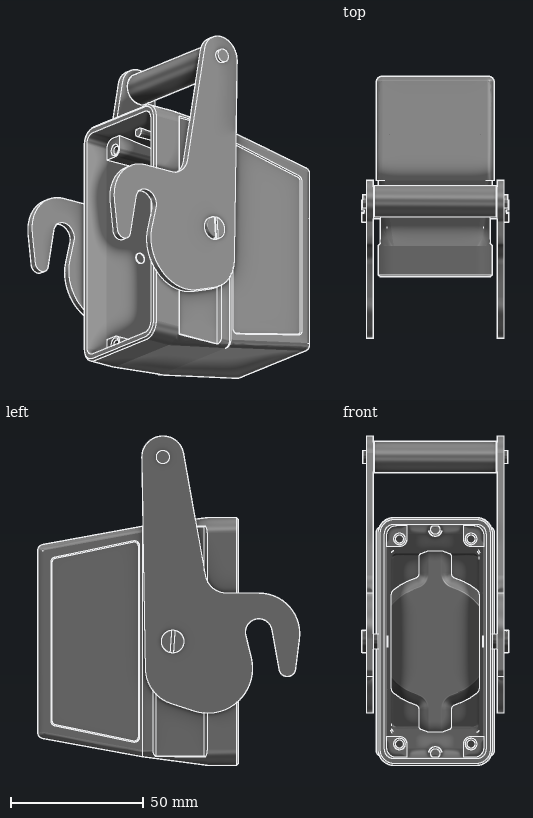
import cadquery as cq
import math


COLLAR_HALF_X = 21.65
COLLAR_HALF_Z = 46.95
COLLAR_CORNER = 6.0
COLLAR_DEPTH = 11.6
COLLAR_EDGE = 0.8
SHOULDER_Y = 36.4
SHOULDER_HALF_Z = 43.65
REAR_HALF_X = 22.4
REAR_HALF_Z = 36.4
REAR_Y = 76.0
REAR_CORNER = 2.5
REAR_EDGE = 2.4
MID_Z = COLLAR_HALF_Z

REAR_PANEL_FRONT_Y = 37.4
REAR_PANEL_BACK_Y = 71.0
REAR_PANEL_FRONT_HALF_Z = 38.6
REAR_PANEL_BACK_HALF_Z = 31.6
REAR_PANEL_DEPTH = 0.5
REAR_PANEL_CORNER = 2.0
FRONT_PANEL_Y = (11.8, 32.4)
FRONT_PANEL_HALF_Z = 44.5
FRONT_PANEL_DEPTH = 1.2
PANEL_DRAFT = 45.0

MOUTH_HALF_X = 19.3
MOUTH_HALF_Z = 44.3
MOUTH_CORNER = 3.6
LEDGE_Y = 9.0
LEDGE_HALF_X = 18.4
LEDGE_HALF_Z = 43.8
WALL_Z = COLLAR_HALF_Z - LEDGE_HALF_Z
SHOULDER_CAVITY_HALF_X = 18.0
FLOOR_HALF_X = 16.6
FLOOR_HALF_Z = 33.0
FLOOR_Y = 72.0
CAVITY_CORNER = 2.0
FLOOR_FILLET = 1.0

ISLAND_HEIGHT = 6.0
ISLAND_DISC_RADIUS = 25.1
ISLAND_NECK_HALF_X = 6.1
ISLAND_DRAFT = 30.0
ISLAND_FILLET = 2.0
ISLAND_EDGE = 1.0

SCREW_X = 13.55
SCREW_PITCH_Z = 77.6
SCREW_DIAMETER = 3.0
SCREW_MOUTH_DIAMETER = 4.4
SCREW_DEPTH = 12.0
PAD_INNER_X = 10.7
PAD_INNER_HALF_Z = 36.0
PAD_FILLET = 2.7

GUIDE_HALF_Z = 42.4
GUIDE_DIAMETER = 3.6
GUIDE_BASE_DIAMETER = 5.2
GUIDE_TIP_Y = 9.5
GUIDE_BASE_Y = 26.0

CHEEK_INNER_X = 23.45
CHEEK_OUTER_X = 26.05
GRIP_EYE = (28.6, 116.76, 8.0)
ELBOW = (4.6, 73.3, 8.0)
HOOK_BACK = (-7.85, 49.9, 15.4)
HOOK_TIP = (-18.5, 36.85, 3.2)
HOOK_SLOT = (-7.7, 50.5, 5.0)
CAM = (11.6, 36.8, 17.0)
HEEL = (21.2, 36.8, 14.0)

GRIP_DIAMETER = 12.0
GRIP_EDGE = 0.5
RIVET_DIAMETER = 5.0
RIVET_END_X = 27.5

PIVOT_Y = 24.9
PIVOT_HEAD_DIAMETER = 8.6
PIVOT_HEAD_X = 27.9
PIVOT_HEAD_EDGE = 0.4
PIVOT_SPACER_DIAMETER = 5.8
PIVOT_PIN_DIAMETER = 4.0
PIVOT_PIN_END_X = 17.8
DRIVER_SLOT_WIDTH = 1.3
DRIVER_SLOT_DEPTH = 1.0
DRIVER_SLOT_TILT = 4.0


def rounded_section(y, half_x, half_z, corner):
    """Rounded rectangle across the hood axis at depth y."""
    return (
        cq.Sketch()
        .rect(2 * half_x, 2 * half_z)
        .vertices()
        .fillet(corner)
        .moved(cq.Location(cq.Plane((0, y, MID_Z), (1, 0, 0), (0, -1, 0))))
    )


def loft_between(*sections):
    """Straight-sided solid through successive rounded sections."""
    sketches = [rounded_section(*section) for section in sections]
    return cq.Workplane().placeSketch(*sketches).loft(ruled=True)


def cylinder_x(y, z, diameter, x_start, x_end):
    """Cylinder parallel to X between two X positions."""
    plane = cq.Workplane("YZ", origin=(x_start, 0, 0))
    return plane.center(y, z).circle(diameter / 2).extrude(x_end - x_start)


def cylinder_y(x, z, diameter, y_start, y_end):
    """Cylinder parallel to Y between two Y positions."""
    plane = cq.Workplane("XZ", origin=(0, y_start, 0))
    return plane.center(x, z).circle(diameter / 2).extrude(y_start - y_end)


def both_sides(shape):
    """The shape together with its mirror image in X."""
    return shape.union(shape.mirror("YZ"))


def top_and_bottom(shape):
    """The shape together with its mirror image about the hood's middle height."""
    return shape.union(shape.mirror("XY", (0, 0, MID_Z)))


def hood_shell():
    collar = loft_between(
        (0, COLLAR_HALF_X, COLLAR_HALF_Z, COLLAR_CORNER),
        (COLLAR_DEPTH, COLLAR_HALF_X, COLLAR_HALF_Z, COLLAR_CORNER),
    )
    collar = collar.faces("<Y").edges().chamfer(COLLAR_EDGE)
    neck = loft_between(
        (COLLAR_DEPTH, COLLAR_HALF_X, COLLAR_HALF_Z, COLLAR_CORNER),
        (SHOULDER_Y, COLLAR_HALF_X, SHOULDER_HALF_Z, REAR_CORNER),
    )
    rear = loft_between(
        (SHOULDER_Y, REAR_HALF_X, SHOULDER_HALF_Z, REAR_CORNER),
        (REAR_Y, REAR_HALF_X, REAR_HALF_Z, REAR_CORNER),
    )
    rear = rear.faces(">Y").edges().fillet(REAR_EDGE)
    return collar.union(neck).union(rear)


def flank_recesses():
    """Shallow panels sunk into both flanks, drafted towards the bottom."""
    rear_outline = (
        cq.Sketch()
        .polygon([
            (REAR_PANEL_FRONT_Y, -REAR_PANEL_FRONT_HALF_Z),
            (REAR_PANEL_BACK_Y, -REAR_PANEL_BACK_HALF_Z),
            (REAR_PANEL_BACK_Y, REAR_PANEL_BACK_HALF_Z),
            (REAR_PANEL_FRONT_Y, REAR_PANEL_FRONT_HALF_Z),
            (REAR_PANEL_FRONT_Y, -REAR_PANEL_FRONT_HALF_Z),
        ])
        .vertices()
        .fillet(REAR_PANEL_CORNER)
    )
    rear_panel = (
        cq.Workplane("YZ", origin=(-REAR_HALF_X, 0, MID_Z))
        .placeSketch(rear_outline)
        .extrude(REAR_PANEL_DEPTH, taper=PANEL_DRAFT)
    )
    front_y, back_y = FRONT_PANEL_Y
    front_panel = (
        cq.Workplane("YZ", origin=(-COLLAR_HALF_X, 0, 0))
        .center((front_y + back_y) / 2, MID_Z)
        .rect(back_y - front_y, 2 * FRONT_PANEL_HALF_Z)
        .extrude(FRONT_PANEL_DEPTH, taper=PANEL_DRAFT)
    )
    return both_sides(rear_panel.union(front_panel))


def cavity():
    mouth = loft_between(
        (0, MOUTH_HALF_X, MOUTH_HALF_Z, MOUTH_CORNER),
        (LEDGE_Y, LEDGE_HALF_X, LEDGE_HALF_Z, MOUTH_CORNER),
    )
    shoulder = (SHOULDER_Y, SHOULDER_CAVITY_HALF_X, SHOULDER_HALF_Z - WALL_Z, CAVITY_CORNER)
    middle = loft_between(
        (LEDGE_Y, LEDGE_HALF_X, LEDGE_HALF_Z, CAVITY_CORNER),
        shoulder,
    )
    deep = loft_between(shoulder, (FLOOR_Y, FLOOR_HALF_X, FLOOR_HALF_Z, CAVITY_CORNER))
    deep = deep.faces(">Y").edges().fillet(FLOOR_FILLET)
    return mouth.union(middle).union(deep)


def floor_island():
    """Disc and necks rising from the cavity floor with sloping sides."""
    plan = (
        cq.Sketch()
        .circle(ISLAND_DISC_RADIUS)
        .rect(2 * ISLAND_NECK_HALF_X, 2 * COLLAR_HALF_Z)
        .clean()
        .vertices(cq.selectors.BoxSelector(
            [-ISLAND_DISC_RADIUS] * 3,
            [ISLAND_DISC_RADIUS] * 3,
        ))
        .fillet(ISLAND_FILLET)
    )
    return (
        cq.Workplane("XZ", origin=(0, FLOOR_Y, MID_Z))
        .placeSketch(plan)
        .extrude(ISLAND_HEIGHT, taper=ISLAND_DRAFT)
        .faces("<Y")
        .edges()
        .fillet(ISLAND_EDGE)
    )


def screw_pads():
    """Corner blocks from the ledge to the cavity floor."""
    pad = (
        cq.Workplane("XY")
        .box(
            LEDGE_HALF_X - PAD_INNER_X,
            FLOOR_Y - LEDGE_Y,
            LEDGE_HALF_Z - PAD_INNER_HALF_Z,
            centered=False,
        )
        .translate((PAD_INNER_X, LEDGE_Y, MID_Z + PAD_INNER_HALF_Z))
        .edges("|Y and <X and <Z")
        .fillet(PAD_FILLET)
    )
    return top_and_bottom(both_sides(pad))


def screw_holes():
    """Blind holes in the pads, with a countersunk mouth."""
    sink = (SCREW_MOUTH_DIAMETER - SCREW_DIAMETER) / 2
    screw_z = MID_Z + SCREW_PITCH_Z / 2
    hole = cylinder_y(SCREW_X, screw_z, SCREW_DIAMETER, LEDGE_Y, LEDGE_Y + SCREW_DEPTH)
    mouth = cq.Solid.makeCone(
        SCREW_MOUTH_DIAMETER / 2,
        SCREW_DIAMETER / 2,
        sink,
        cq.Vector(SCREW_X, LEDGE_Y, screw_z),
        cq.Vector(0, 1, 0),
    )
    return top_and_bottom(both_sides(hole.union(cq.Workplane(mouth))))


def guide_pins():
    guide_z = MID_Z + GUIDE_HALF_Z
    pin = cylinder_y(0, guide_z, GUIDE_DIAMETER, GUIDE_TIP_Y, SHOULDER_Y)
    base = cylinder_y(0, guide_z, GUIDE_BASE_DIAMETER, GUIDE_BASE_Y, SHOULDER_Y)
    return top_and_bottom(pin.union(base))


def tangent_line(first, first_turn, second, second_turn):
    """Ends of the line that leaves one circle and joins the next.

    A turn of +1 runs counter-clockwise round its circle and -1 runs clockwise.
    """
    y1, z1, r1 = first
    y2, z2, r2 = second
    span = math.hypot(y2 - y1, z2 - z1)
    heading = math.atan2(z2 - z1, y2 - y1)
    heading -= math.asin((second_turn * r2 - first_turn * r1) / span)
    normal_y = -math.sin(heading)
    normal_z = math.cos(heading)
    start = (y1 - first_turn * r1 * normal_y, z1 - first_turn * r1 * normal_z)
    end = (y2 - second_turn * r2 * normal_y, z2 - second_turn * r2 * normal_z)
    return start, end


def arc_middle(circle, turn, start, end):
    """Point half way along an arc of the circle."""
    y, z, radius = circle
    start_angle = math.atan2(start[1] - z, start[0] - y)
    end_angle = math.atan2(end[1] - z, end[0] - y)
    sweep = (turn * (end_angle - start_angle)) % (2 * math.pi)
    angle = start_angle + turn * sweep / 2
    return y + radius * math.cos(angle), z + radius * math.sin(angle)


def lever_cheek():
    """Plate on the +X side whose outline is arcs joined by tangent lines."""
    chain = [
        (GRIP_EYE, 1),
        (ELBOW, -1),
        (HOOK_BACK, 1),
        (HOOK_TIP, 1),
        (HOOK_SLOT, -1),
        (CAM, 1),
        (HEEL, 1),
    ]
    lines = [
        tangent_line(*chain[i], *chain[(i + 1) % len(chain)])
        for i in range(len(chain))
    ]
    arc_start = lines[-1][1]
    outline = cq.Workplane("YZ", origin=(CHEEK_INNER_X, 0, 0)).moveTo(*arc_start)
    for (circle, turn), (line_start, line_end) in zip(chain, lines):
        middle = arc_middle(circle, turn, arc_start, line_start)
        outline = outline.threePointArc(middle, line_start).lineTo(*line_end)
        arc_start = line_end
    return outline.close().extrude(CHEEK_OUTER_X - CHEEK_INNER_X)


def grip():
    y, z, _ = GRIP_EYE
    bar = cylinder_x(y, z, GRIP_DIAMETER, -CHEEK_INNER_X, CHEEK_INNER_X)
    bar = bar.edges().chamfer(GRIP_EDGE)
    rivet = cylinder_x(y, z, RIVET_DIAMETER, -RIVET_END_X, RIVET_END_X)
    return bar.union(rivet)


def pivot_screw():
    """Screw on the +X side: inner pin, spacer and slotted head."""
    pin = cylinder_x(PIVOT_Y, MID_Z, PIVOT_PIN_DIAMETER, PIVOT_PIN_END_X, CHEEK_OUTER_X)
    spacer_start = COLLAR_HALF_X - FRONT_PANEL_DEPTH
    spacer = cylinder_x(PIVOT_Y, MID_Z, PIVOT_SPACER_DIAMETER, spacer_start, CHEEK_INNER_X)
    head = cylinder_x(PIVOT_Y, MID_Z, PIVOT_HEAD_DIAMETER, CHEEK_OUTER_X, PIVOT_HEAD_X)
    head = head.faces(">X").edges().fillet(PIVOT_HEAD_EDGE)
    slot = (
        cq.Workplane("YZ", origin=(PIVOT_HEAD_X, PIVOT_Y, MID_Z))
        .transformed(rotate=(0, 0, DRIVER_SLOT_TILT))
        .rect(DRIVER_SLOT_WIDTH, PIVOT_HEAD_DIAMETER)
        .extrude(-DRIVER_SLOT_DEPTH)
    )
    return pin.union(spacer).union(head.cut(slot))


def hood():
    shell = hood_shell().cut(flank_recesses())
    inner_features = floor_island().union(screw_pads()).union(guide_pins()).intersect(shell)
    return shell.cut(cavity()).union(inner_features).cut(screw_holes())


lever = both_sides(lever_cheek()).union(grip())
result = hood().union(lever).union(both_sides(pivot_screw()))